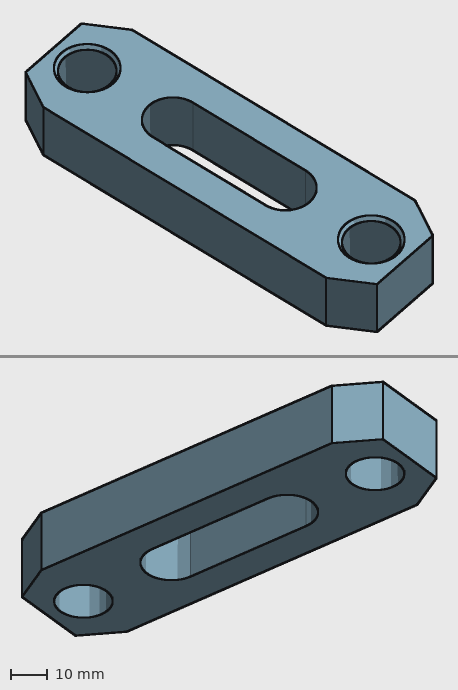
import cadquery as cq
import math

length = 125.0
width = 38.0
thickness = 19.0

corner_length = 12.2
corner_angle = 30.0
corner_width = corner_length * math.tan(math.radians(corner_angle))

slot_length = 57.0
slot_width = 17.0

hole_spacing = 101.0
hole_diameter = 16.0
hole_rim_diameter = 18.2
hole_chamfer = (hole_rim_diameter - hole_diameter) / 2


def make_plate():
    """Rectangular plate with its four corners cut off, resting on Z = 0."""
    half_length = length / 2
    half_width = width / 2
    corner_x = half_length - corner_length
    corner_y = half_width - corner_width
    outline = [
        (half_length, -corner_y),
        (half_length, corner_y),
        (corner_x, half_width),
        (-corner_x, half_width),
        (-half_length, corner_y),
        (-half_length, -corner_y),
        (-corner_x, -half_width),
        (corner_x, -half_width),
    ]
    return cq.Workplane("XY").polyline(outline).close().extrude(thickness)


def make_slot():
    """Round-ended cutter for the slot through the plate."""
    return cq.Workplane("XY").slot2D(slot_length, slot_width).extrude(thickness)


def make_hole(x):
    """Cutter for a through hole with a 45 degree chamfer at its top rim."""
    hole_radius = hole_diameter / 2
    rim_radius = hole_rim_diameter / 2
    profile = [
        (0, 0),
        (hole_radius, 0),
        (hole_radius, thickness - hole_chamfer),
        (rim_radius, thickness),
        (0, thickness),
    ]
    cutter = cq.Workplane("XZ").polyline(profile).close().revolve(360, (0, 0), (0, 1))
    return cutter.translate((x, 0, 0))


result = make_plate().cut(make_slot())
for side in (-1, 1):
    result = result.cut(make_hole(side * hole_spacing / 2))